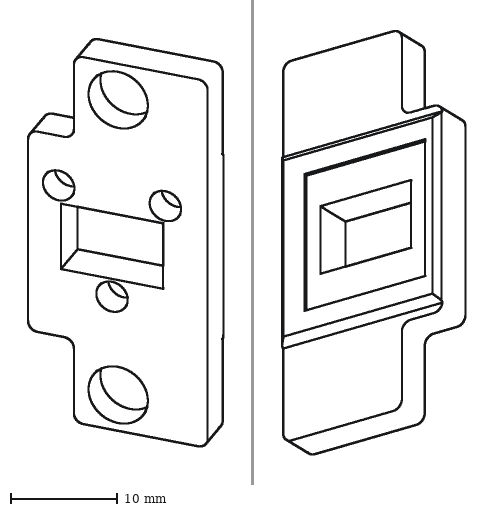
import cadquery as cq
import math

width = 18.2
height = 39.3
plate_thickness = 3.8
total_thickness = 4.6
corner_radius = 1.0
tab_width = 4.65
tab_height = 21.45

pad_top_width = 17.0
pad_top_height = 18.25
pad_slope_angle = 45.0

pocket_left = -7.65
pocket_right = 6.15
pocket_height = 14.15
pocket_depth = 0.4

window_width = 10.35
window_height = 7.0
window_x = -0.6
small_hole_diameter = 3.2
small_hole_spacing = 10.8
small_hole_offset = small_hole_spacing / 2
small_hole_depth = 3.0

step_start = 1.35
step_depth = 0.2

large_hole_diameter = 6.0
large_hole_offset = 15.8
large_hole_x = 0.05
large_hole_depth = 3.0

left = -width / 2
right = width / 2
body_left = left + tab_width


def front_plane(y=0.0):
    """Plane facing -Y: local x is X, local y is Z, negative extrusion goes into the plate."""
    return cq.Workplane("XZ", origin=(0, y, 0))


def outline(thickness):
    """Plate outline with its side tab and all upright corners rounded."""
    points = [
        (body_left, -height / 2),
        (right, -height / 2),
        (right, height / 2),
        (body_left, height / 2),
        (body_left, tab_height / 2),
        (left, tab_height / 2),
        (left, -tab_height / 2),
        (body_left, -tab_height / 2),
    ]
    block = front_plane().polyline(points).close().extrude(-thickness)
    return block.edges("|Y").fillet(corner_radius)


def raised_pad():
    """Pad tapering toward its top, trimmed to the side walls of the plate."""
    pad_rise = total_thickness - plate_thickness
    slope_run = pad_rise / math.tan(math.radians(pad_slope_angle))
    pad = (
        front_plane(plate_thickness)
        .rect(pad_top_width + 2 * slope_run, pad_top_height + 2 * slope_run)
        .workplane(offset=-pad_rise)
        .rect(pad_top_width, pad_top_height)
        .loft(ruled=True)
    )
    return pad.intersect(outline(total_thickness))


def blind_holes(centers, diameter, depth):
    """Round holes sunk from the front face."""
    return front_plane().pushPoints(centers).circle(diameter / 2).extrude(-depth)


def floor_step(center):
    """Deeper segment of a small hole's floor, beyond a straight edge parallel to Z."""
    deeper = blind_holes([center], small_hole_diameter, small_hole_depth + step_depth)
    beyond_edge = (
        front_plane()
        .center(center[0] + step_start + small_hole_diameter / 2, center[1])
        .rect(small_hole_diameter, small_hole_diameter)
        .extrude(-total_thickness)
    )
    return deeper.intersect(beyond_edge)


small_left = (window_x - small_hole_offset, small_hole_offset)
small_right = (window_x + small_hole_offset, small_hole_offset)
small_bottom = (window_x, -small_hole_offset)
large_centers = [(large_hole_x, large_hole_offset), (large_hole_x, -large_hole_offset)]

window = (
    front_plane()
    .center(window_x, 0)
    .rect(window_width, window_height)
    .extrude(-total_thickness)
)

pocket = (
    front_plane(total_thickness - pocket_depth)
    .center((pocket_left + pocket_right) / 2, 0)
    .rect(pocket_right - pocket_left, pocket_height)
    .extrude(-pocket_depth)
)

result = outline(plate_thickness).union(raised_pad())
result = result.cut(pocket)
result = result.cut(window)
result = result.cut(blind_holes(large_centers, large_hole_diameter, large_hole_depth))
result = result.cut(
    blind_holes([small_left, small_right, small_bottom], small_hole_diameter, small_hole_depth)
)
result = result.cut(floor_step(small_right))